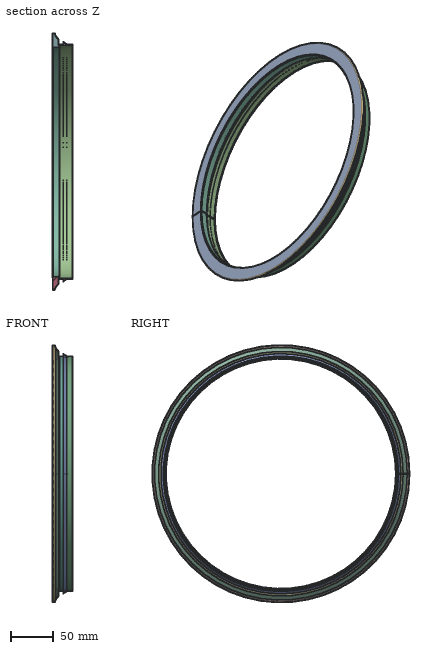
import cadquery as cq

total_width = 24.0
flange_radius = 152.5
body_radius = 139.3
bore_radius = 136.0

rim_width = 3.3
rim_crown_height = 1.4
rim_edge_radius = flange_radius - rim_crown_height
cone_start = 3.8
cone_start_radius = 149.6
cone_end_radius = 144.8
flange_width = 7.4

relief_depth = 1.2
relief_end = 8.0
body_front_chamfer = 0.6

barb_start = 12.7
barb_end = 17.0
barb_radius = 142.2

mouth_chamfer = 1.0
land_width = 8.6
counterbore_radius = 138.0
tail_chamfer = 0.5

split_gap = 0.5


def ring_body():
    """Revolve the section, drawn as (x, radius), about the X axis."""
    section = (
        cq.Workplane("XY")
        .moveTo(0, bore_radius + mouth_chamfer)
        .lineTo(0, rim_edge_radius)
        .threePointArc((rim_width / 2, flange_radius), (rim_width, rim_edge_radius))
        .lineTo(cone_start, cone_start_radius)
        .lineTo(flange_width, cone_end_radius)
        .lineTo(flange_width, body_radius - relief_depth)
        .lineTo(relief_end, body_radius - relief_depth)
        .lineTo(relief_end, body_radius - body_front_chamfer)
        .lineTo(relief_end + body_front_chamfer, body_radius)
        .lineTo(barb_start, body_radius)
        .lineTo(barb_start, barb_radius)
        .lineTo(barb_end, body_radius)
        .lineTo(total_width - tail_chamfer, body_radius)
        .lineTo(total_width, body_radius - tail_chamfer)
        .lineTo(total_width, counterbore_radius)
        .lineTo(land_width, counterbore_radius)
        .lineTo(land_width, bore_radius)
        .lineTo(mouth_chamfer, bore_radius)
        .close()
    )
    return section.revolve(360, (0, 0, 0), (1, 0, 0))


def split_cutter():
    """Thin slab that cuts the ring open on the +Y side."""
    return cq.Workplane("XY").box(
        total_width, flange_radius, split_gap, centered=(False, False, True)
    )


result = ring_body().cut(split_cutter())